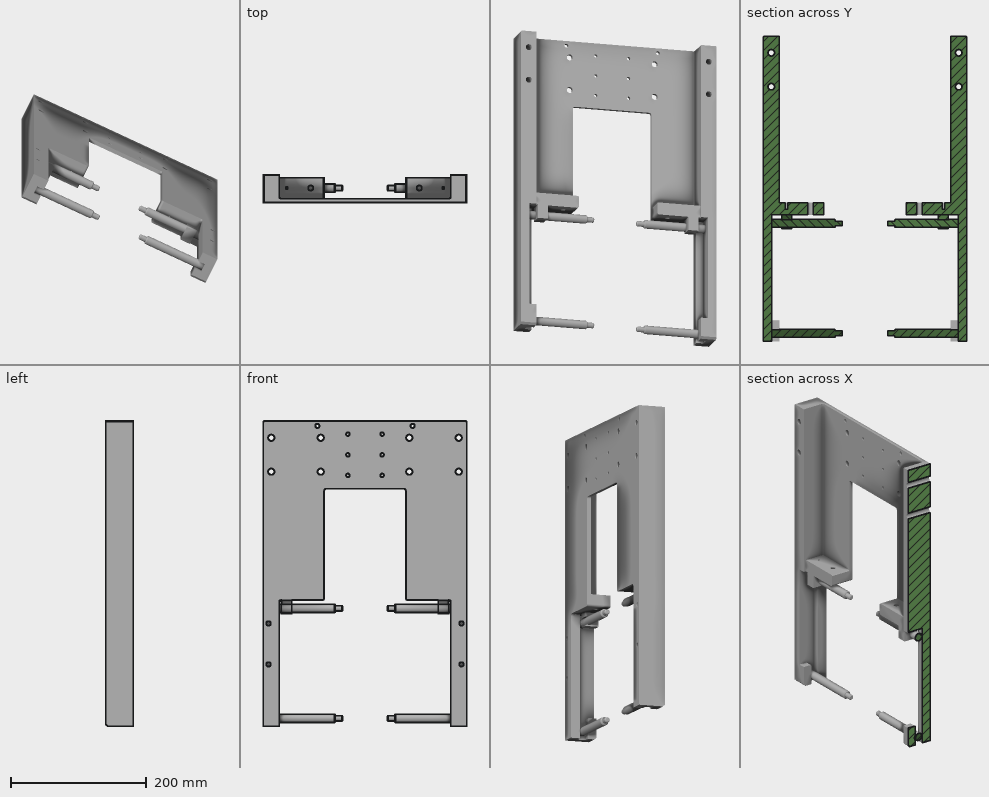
import cadquery as cq
frame_width = 300.0
frame_height = 450.0
frame_depth = 41.0
plate_thickness = 6.0
rail_width = 24.0
rail_inner_x = frame_width / 2 - rail_width
corner_radius = 3.0
rail_root_radius = 2.2
heel_chamfer = 3.0
top_chamfer = 1.5

window_width = 120.0
window_top_z = 350.0
leg_opening_top_z = 186.0

shelf_height = 18.5
shelf_back_y = 37.0

pocket_width = 11.0
ledge_depth = 15.0

pin_y = (plate_thickness + shelf_back_y) / 2
pin_heights = {"upper": 173.5, "lower": 11.5}
pin_diameter = 12.5
neck_diameter = 12.0
nose_diameter = 8.0
pin_tip_x = 33.0
nose_length = 11.0
pin_chamfer = 1.5
pin_back_x = rail_inner_x + pocket_width

saddle_diameter = 14.0
upper_lug_width = 15.5
upper_lug_gap = 3.0
upper_lug_drop = 20.2
upper_lug_front_y = 15.5
upper_lug_lean = 1.0
upper_lug_bevel_length = 2.5
lower_lug_front_y = 27.0
lower_lug_top_z = 31.5
lower_lug_chamfer = 1.5

upper_neck_span = (rail_inner_x - upper_lug_gap - upper_lug_width, rail_inner_x - upper_lug_gap)
lower_neck_span = (rail_inner_x, pin_back_x)

mounting_holes = (9.0, (65.2, 138.0), (375.5, 425.2), frame_depth)
centre_holes = (5.0, (25.0,), (370.0, 400.0, 430.5), plate_thickness)
edge_holes = (6.0, (70.0,), (443.0,), plate_thickness)
leg_holes = (6.8, (142.0,), (91.5, 151.5), ledge_depth)

sight_hole_diameter = 7.5
sight_hole_x = 80.0
set_hole_diameter = 3.45
set_hole_depth = 9.0
set_hole_x = sum(upper_neck_span) / 2


def block(x_span, y_span, z_span):
    """Box between two limits along each axis."""
    spans = (x_span, y_span, z_span)
    sizes = [high - low for low, high in spans]
    return cq.Workplane("XY").box(*sizes, centered=False).translate([low for low, high in spans])


def both_sides(body):
    """A right-hand feature together with its mirror image."""
    return body.union(body.mirror("YZ"))


def x_cylinder(diameter, x_span, y, z):
    start, end = x_span
    return cq.Workplane("YZ", origin=(start, y, z)).circle(diameter / 2).extrude(end - start)


def opening():
    """Stepped opening with rounded corners, deep enough to trim both the plate and the shelf."""
    half_window = window_width / 2
    window = block((-half_window, half_window), (0, shelf_back_y), (0, window_top_z))
    leg_gap = block((-rail_inner_x, rail_inner_x), (0, shelf_back_y), (0, leg_opening_top_z))
    return window.union(leg_gap).edges("|Y").edges("not <Z").fillet(corner_radius)


def plate():
    return block((-frame_width / 2, frame_width / 2), (0, plate_thickness), (0, frame_height))


def rail():
    rail_block = block((rail_inner_x, frame_width / 2), (0, frame_depth), (0, frame_height))
    pocket = block((rail_inner_x, pin_back_x), (ledge_depth, frame_depth), (0, leg_opening_top_z))
    leg = rail_block.cut(pocket).union(lower_lug())
    return leg.edges(">Y and <Z").chamfer(heel_chamfer)


def shelf():
    shelf_top_z = leg_opening_top_z + shelf_height
    body = block(
        (window_width / 2, rail_inner_x), (plate_thickness, shelf_back_y), (leg_opening_top_z, shelf_top_z)
    )
    body = body.edges("<X and >Z").chamfer(top_chamfer)
    top = cq.Workplane("XY", origin=(0, pin_y, shelf_top_z))
    sight_hole = top.center(sight_hole_x, 0).circle(sight_hole_diameter / 2).extrude(-shelf_height)
    set_hole = top.center(set_hole_x, 0).circle(set_hole_diameter / 2).extrude(-set_hole_depth)
    return body.cut(sight_hole).cut(set_hole)


def make_retainer(side):
    """Lug hanging from the shelf, with a round-bottomed slot that grips the neck of the upper pin."""
    pin_z = pin_heights["upper"]
    neck_radius = neck_diameter / 2
    slot_top_z = pin_z + neck_radius
    slot_bottom_z = pin_z - neck_radius
    bottom_z = leg_opening_top_z - upper_lug_drop
    start_x, end_x = upper_neck_span
    retainer = (
        cq.Workplane("YZ", origin=(start_x, 0, 0))
        .moveTo(shelf_back_y, leg_opening_top_z)
        .lineTo(upper_lug_front_y, leg_opening_top_z)
        .lineTo(upper_lug_front_y + upper_lug_lean, slot_top_z)
        .lineTo(pin_y, slot_top_z)
        .threePointArc((pin_y + neck_radius, pin_z), (pin_y, slot_bottom_z))
        .lineTo(upper_lug_front_y + upper_lug_bevel_length, slot_bottom_z)
        .lineTo(upper_lug_front_y, bottom_z)
        .lineTo(shelf_back_y, bottom_z)
        .close()
        .extrude(end_x - start_x)
    )
    return retainer if side > 0 else retainer.mirror("YZ")


def lower_lug():
    lug = block(lower_neck_span, (lower_lug_front_y, frame_depth), (0, lower_lug_top_z))
    lug = lug.edges("<Y and >Z").chamfer(lower_lug_chamfer)
    return lug.cut(x_cylinder(saddle_diameter, lower_neck_span, pin_y, pin_heights["lower"]))


def plate_holes(pattern):
    diameter, offsets, heights, depth = pattern
    points = [(side * x, z) for side in (-1, 1) for x in offsets for z in heights]
    holes = cq.Workplane("XZ").pushPoints(points).circle(diameter / 2)
    return holes.extrude(-depth)


def rail_roots():
    """Fillets along the inner corners between the plate and the rails, above the shelf."""
    bottom_z = leg_opening_top_z + shelf_height
    x, y, r = rail_inner_x, plate_thickness, rail_root_radius
    square = block((x - r, x), (y, y + r), (bottom_z, frame_height))
    round_cut = cq.Workplane("XY", origin=(x - r, y + r, bottom_z)).circle(r).extrude(frame_height - bottom_z)
    return square.cut(round_cut)


def make_frame():
    panel = plate().union(both_sides(shelf())).cut(opening())
    frame = panel.union(both_sides(rail().union(rail_roots())))
    frame = frame.edges("(>X or <X) and >Z").chamfer(top_chamfer)
    for pattern in (mounting_holes, centre_holes, edge_holes, leg_holes):
        frame = frame.cut(plate_holes(pattern))
    return frame


def make_pin(side, z, neck_span):
    shoulder_x = pin_tip_x + nose_length
    shank = x_cylinder(pin_diameter, (shoulder_x, pin_back_x), pin_y, z).faces("<X").chamfer(pin_chamfer)
    nose = x_cylinder(nose_diameter, (pin_tip_x, shoulder_x), pin_y, z).faces("<X").chamfer(pin_chamfer)
    ring = x_cylinder(2 * pin_diameter, neck_span, pin_y, z)
    ring = ring.cut(x_cylinder(neck_diameter, neck_span, pin_y, z))
    pin = shank.union(nose).cut(ring)
    return pin if side > 0 else pin.mirror("YZ")


frame = make_frame()
pins = []
retainers = []
for side in (-1, 1):
    retainers.append(make_retainer(side))
    pins.append(make_pin(side, pin_heights["upper"], upper_neck_span))
    pins.append(make_pin(side, pin_heights["lower"], lower_neck_span))

result = cq.Compound.makeCompound([frame.val(), *[body.val() for body in pins + retainers]])